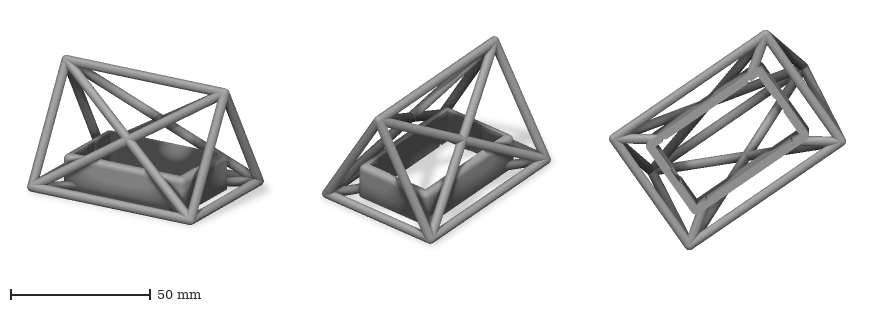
import cadquery as cq
import math

rod_diameter = 3.5
rod_radius = rod_diameter / 2
overall_length = 70
overall_width = 51.0
node_x = (overall_length - rod_diameter) / 2
node_y = (overall_width - rod_diameter) / 2
ridge_height = 2 * node_y * math.sin(math.radians(60))

collar_length = 51.0
collar_width = 32.0
wall = 3.0
edge_radius = 2.0
collar_top = 11.5
collar_bottom = -rod_radius
collar_height = collar_top - collar_bottom
opening_length = collar_length - 2 * wall
opening_width = collar_width - 2 * wall

recess_width = 6.0
recess_edge_depth = 0.35
recess_depth = 1.4
recess_deepest_drop = 7.15

groove_inset = 3.85
groove_top_drop = 3.2
groove_bottom_radius = 0.8


def rod(start, end):
    """Round bar between two points."""
    axis = cq.Vector(*end) - cq.Vector(*start)
    return cq.Workplane(obj=cq.Solid.makeCylinder(rod_radius, axis.Length, cq.Vector(*start), axis))


def node(center):
    """Ball that rounds off the joint where rods meet."""
    return cq.Workplane("XY").sphere(rod_radius).translate(center)


def block(length, width):
    """Upright block spanning the height of the collar."""
    return (
        cq.Workplane("XY")
        .workplane(offset=collar_bottom)
        .rect(length, width)
        .extrude(collar_height)
    )


def wall_recess():
    """Cutter that deepens from the rim of the +X inner wall, then grows shallower below."""
    wall_face = opening_length / 2
    return (
        cq.Workplane("XZ")
        .moveTo(wall_face, collar_top)
        .lineTo(wall_face + recess_edge_depth, collar_top)
        .lineTo(wall_face + recess_depth, collar_top - recess_deepest_drop)
        .lineTo(wall_face + recess_edge_depth, collar_bottom)
        .lineTo(wall_face, collar_bottom)
        .close()
        .extrude(recess_width / 2, both=True)
    )


def wall_groove(x, y):
    """Cone on a wall face, pointed at the top and widest at the bottom of the collar."""
    cone = cq.Solid.makeCone(
        groove_bottom_radius, 0, collar_height - groove_top_drop, cq.Vector(x, y, collar_bottom)
    )
    return cq.Workplane(obj=cone)


front_nodes = [(x, -node_y, 0) for x in (-node_x, node_x)]
back_nodes = [(x, node_y, 0) for x in (-node_x, node_x)]
ridge_nodes = [(x, 0, ridge_height) for x in (-node_x, node_x)]
rails = [front_nodes, back_nodes, ridge_nodes]

bars = [tuple(rail) for rail in rails]
for first, second in ((0, 1), (1, 2), (2, 0)):
    bars += zip(rails[first], rails[second])
    bars += zip(rails[first], reversed(rails[second]))

result = block(collar_length, collar_width).edges("|Z or >Z").fillet(edge_radius)
for start, end in bars:
    result = result.union(rod(start, end))
for center in front_nodes + back_nodes + ridge_nodes:
    result = result.union(node(center))

result = result.cut(block(opening_length, opening_width))

recess = wall_recess()
result = result.cut(recess).cut(recess.mirror("YZ"))

groove_x = opening_length / 2 - groove_inset
groove_y = opening_width / 2
for x in (-groove_x, groove_x):
    for y in (-groove_y, groove_y):
        result = result.cut(wall_groove(x, y))